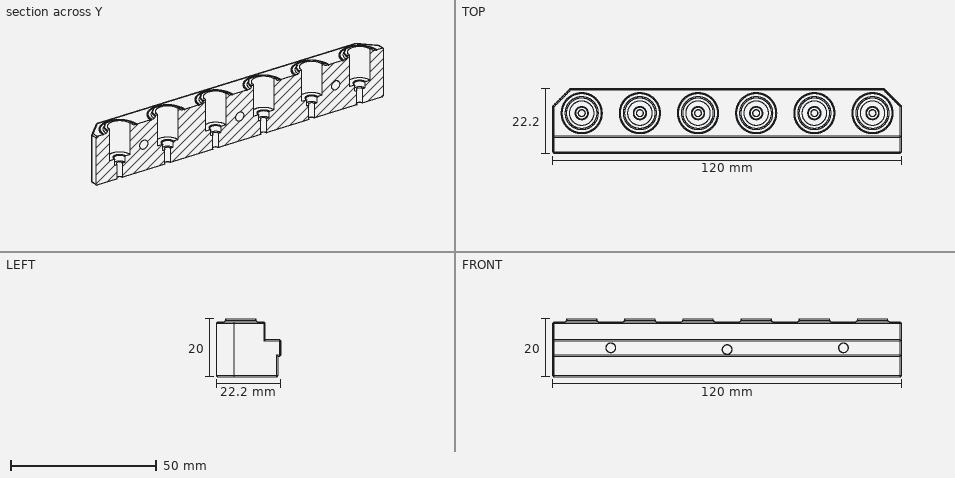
import cadquery as cq

length = 120.0
depth = 22.2
block_height = 19.0
total_height = 20.0

back_depth = 16.8
ledge_top = 13.0
ledge_bottom = 7.1
undercut = 1.0
corner_cut = 6.0
edge_chamfer = 0.5

socket_count = 6
socket_pitch = length / socket_count
socket_from_back = 8.4
insert_diameter = 14.2
insert_chamfer = 0.4
collar_diameter = 10.5
collar_base_diameter = 11.4
collar_base_height = 0.6
bore_diameter = 8.4
bore_depth = 12.0
counterbore_diameter = 4.1
counterbore_depth = 2.4
counterbore_chamfer = 0.2
outlet_diameter = 2.3

cross_hole_diameter = 3.2
outer_hole_height = 10.1
middle_hole_height = 9.5
cross_hole_spacing = 2 * socket_pitch

back_y = depth / 2
front_y = -depth / 2
socket_y = back_y - socket_from_back
socket_xs = [(i - (socket_count - 1) / 2) * socket_pitch for i in range(socket_count)]


def make_block():
    """Stepped bar with cut rear corners and chamfered outer edges."""
    ledge_wall_y = back_y - back_depth
    lower_front_y = front_y + undercut
    profile = [
        (back_y, 0),
        (back_y, block_height),
        (ledge_wall_y, block_height),
        (ledge_wall_y, ledge_top),
        (front_y, ledge_top),
        (front_y, ledge_bottom),
        (lower_front_y, ledge_bottom),
        (lower_front_y, 0),
    ]
    block = cq.Workplane("YZ").polyline(profile).close().extrude(length / 2, both=True)
    block = block.edges("|Z and >Y").chamfer(corner_cut)

    outline = block.faces("<X or >X or <Z or >Z").edges().vals()
    ledge_nose = block.faces("<Y").edges("|X").vals()
    cut_corner_uprights = block.faces("#Z and (not |X) and (not |Y)").edges("|Z").vals()
    bevelled = [edge for edge in outline + ledge_nose if edge not in cut_corner_uprights]
    return block.newObject(bevelled).chamfer(edge_chamfer)


def cone(bottom, bottom_diameter, height, top_diameter):
    """Cone frustum centred on the Z axis."""
    return (
        cq.Workplane("XY")
        .workplane(offset=bottom)
        .circle(bottom_diameter / 2)
        .workplane(offset=height)
        .circle(top_diameter / 2)
        .loft()
    )


def make_rim_clearance():
    """Counterbore in the block that leaves a V groove around the bevelled rim of the insert."""
    return (
        cq.Workplane("XY")
        .workplane(offset=block_height - insert_chamfer)
        .circle(insert_diameter / 2)
        .extrude(insert_chamfer)
    )


def make_insert():
    """Bevelled round insert flush with the block, carrying a raised collar on a conical base."""
    body = cq.Workplane("XY").circle(insert_diameter / 2).extrude(block_height)
    body = body.faces(">Z").chamfer(insert_chamfer)
    collar = cq.Workplane("XY").circle(collar_diameter / 2).extrude(total_height)
    collar_base = cone(block_height, collar_base_diameter, collar_base_height, collar_diameter)
    return body.union(collar).union(collar_base)


def make_socket_cavity():
    """Bore, countersunk counterbore and outlet, stepped down from the collar to the underside."""
    bore_floor = total_height - bore_depth
    counterbore_floor = bore_floor - counterbore_depth
    outlet = cq.Workplane("XY").circle(outlet_diameter / 2).extrude(total_height)
    counterbore = (
        cq.Workplane("XY")
        .workplane(offset=counterbore_floor)
        .circle(counterbore_diameter / 2)
        .extrude(counterbore_depth)
    )
    countersink = cone(
        bore_floor - counterbore_chamfer,
        counterbore_diameter,
        counterbore_chamfer,
        counterbore_diameter + 2 * counterbore_chamfer,
    )
    bore = (
        cq.Workplane("XY")
        .workplane(offset=bore_floor)
        .circle(bore_diameter / 2)
        .extrude(bore_depth)
    )
    return outlet.union(counterbore).union(countersink).union(bore)


def make_cross_hole(x, z):
    return (
        cq.Workplane("XZ")
        .center(x, z)
        .circle(cross_hole_diameter / 2)
        .extrude(depth, both=True)
    )


result = make_block()

for x in socket_xs:
    result = result.cut(make_rim_clearance().translate((x, socket_y, 0)))
    result = result.union(make_insert().translate((x, socket_y, 0)))
    result = result.cut(make_socket_cavity().translate((x, socket_y, 0)))

for x, z in [
    (-cross_hole_spacing, outer_hole_height),
    (0, middle_hole_height),
    (cross_hole_spacing, outer_hole_height),
]:
    result = result.cut(make_cross_hole(x, z))